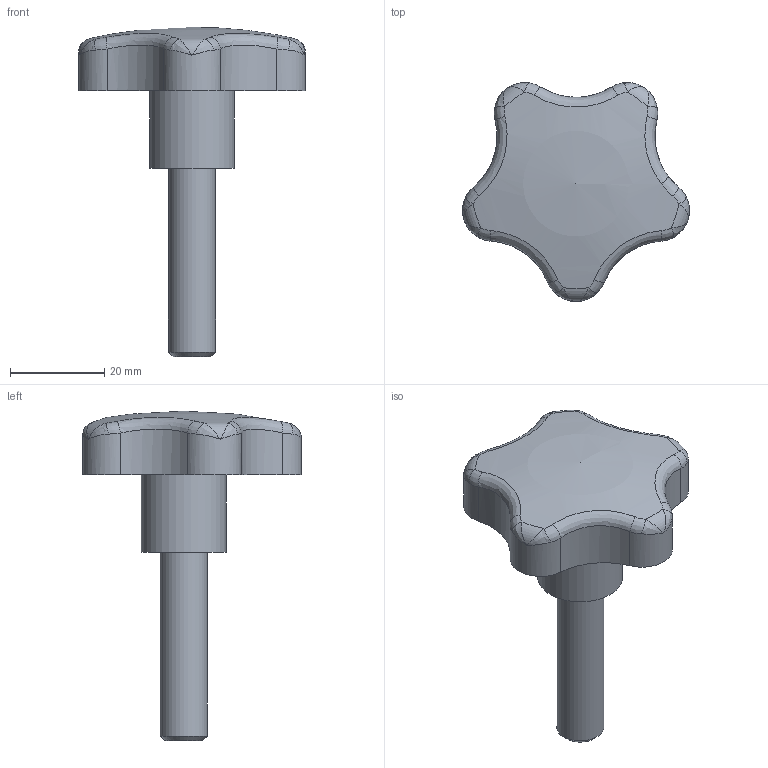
import cadquery as cq
import math

head_height = 13.5
hub_length = 16.5
stud_length = 40.0

lobe_count = 5
head_radius = 25.0
lobe_radius = 6.5
valley_radius = 14.0
dome_radius = 100.0
rim_round = 3.5
edge_fillet = 2.5

hub_diameter = 18.0
stud_diameter = 10.0
stud_chamfer = 1.0

first_lobe_angle = -90.0
lobe_pitch = 360.0 / lobe_count


def polar(radius, angle):
    """Point at the given distance and direction (degrees) from the axis."""
    a = math.radians(angle)
    return (radius * math.cos(a), radius * math.sin(a))


def star_prism():
    """Prism with convex lobe arcs joined tangentially by concave valley arcs."""
    half_pitch = math.radians(lobe_pitch / 2)
    lobe_centre = head_radius - lobe_radius
    half_gap = lobe_centre * math.sin(half_pitch)
    centre_distance = lobe_radius + valley_radius
    valley_centre = lobe_centre * math.cos(half_pitch) + math.sqrt(centre_distance**2 - half_gap**2)
    valley_bottom = valley_centre - valley_radius

    share = lobe_radius / centre_distance
    valley_x, valley_y = polar(valley_centre, lobe_pitch / 2)
    joint_x = lobe_centre + share * (valley_x - lobe_centre)
    joint_y = share * valley_y
    joint_radius = math.hypot(joint_x, joint_y)
    joint_angle = math.degrees(math.atan2(joint_y, joint_x))

    outline = cq.Workplane("XY").moveTo(*polar(joint_radius, first_lobe_angle - joint_angle))
    for i in range(lobe_count):
        lobe = first_lobe_angle + i * lobe_pitch
        outline = outline.threePointArc(polar(head_radius, lobe), polar(joint_radius, lobe + joint_angle))
        outline = outline.threePointArc(
            polar(valley_bottom, lobe + lobe_pitch / 2),
            polar(joint_radius, lobe + lobe_pitch - joint_angle),
        )
    return outline.close().extrude(head_height)


def domed_disc():
    """Disc with a spherical top that runs tangentially into a rounded rim."""
    dome_centre = head_height - dome_radius
    rim_centre_radius = head_radius - rim_round
    rim_slope = math.asin(rim_centre_radius / (dome_radius - rim_round))
    rim_centre_height = dome_centre + (dome_radius - rim_round) * math.cos(rim_slope)

    def dome_point(slope):
        return (dome_radius * math.sin(slope), dome_centre + dome_radius * math.cos(slope))

    rim_middle = (rim_slope + math.pi / 2) / 2
    rim_point = (
        rim_centre_radius + rim_round * math.sin(rim_middle),
        rim_centre_height + rim_round * math.cos(rim_middle),
    )
    return (
        cq.Workplane("XZ")
        .lineTo(head_radius, 0)
        .lineTo(head_radius, rim_centre_height)
        .threePointArc(rim_point, dome_point(rim_slope))
        .threePointArc(dome_point(rim_slope / 2), (0, head_height))
        .close()
        .revolve(360, (0, 0, 0), (0, 1, 0))
    )


def head():
    """Domed star head, rounded where its side walls meet the domed and rounded top."""
    body = domed_disc().intersect(star_prism())
    return body.edges("%BSPLINE").fillet(edge_fillet)


def hub():
    """Cylindrical collar below the head."""
    return cq.Workplane("XY").circle(hub_diameter / 2).extrude(-hub_length)


def stud():
    """Round stud below the hub, chamfered at its free end."""
    return (
        cq.Workplane("XY", origin=(0, 0, -hub_length))
        .circle(stud_diameter / 2)
        .extrude(-stud_length)
        .faces("<Z")
        .chamfer(stud_chamfer)
    )


result = head().union(hub()).union(stud())